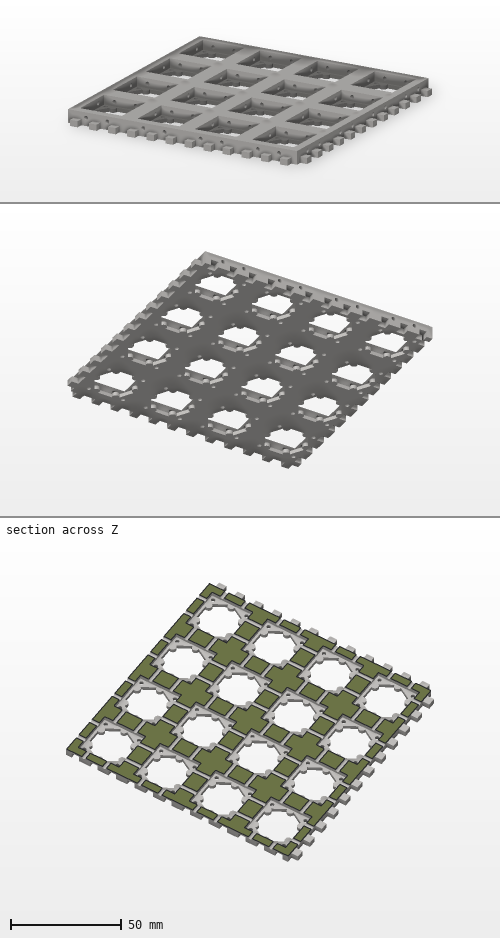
import cadquery as cq
import math

total_side = 123.5
plate_thickness = 6.5

cells_per_side = 4
pocket_side = 22.0
floor_thickness = 1.9
opening_sides = 6
opening_across_flats = 19.6
lobe_diameter = 3.5
lobe_circle_radius = 10.4
hole_diameter = 2.0
floor_hole_offset = 9.0

notch_web = 0.51

cell_pitch = (total_side + pocket_side / 2 + notch_web) / (cells_per_side + 1 / 2)
plate_side = cells_per_side * cell_pitch
half_side = plate_side / 2

tabs_per_cell = 3
tab_count = cells_per_side * tabs_per_cell
tab_pitch = cell_pitch / tabs_per_cell
tab_width = 4.0
tab_height = 3.0
tab_length = total_side - plate_side

cross_hole_offset = 5.5
cross_hole_height = 4.0


def row_positions(count, pitch):
    """Evenly spaced positions centred on zero."""
    return [(i - (count - 1) / 2) * pitch for i in range(count)]


def make_cell_cutter():
    """Square pocket, lobed hexagonal opening and corner holes of one cell."""
    pocket = (
        cq.Workplane("XY")
        .workplane(offset=floor_thickness)
        .rect(pocket_side, pocket_side)
        .extrude(plate_thickness - floor_thickness)
    )
    hexagon = (
        cq.Workplane("XY")
        .polygon(opening_sides, opening_across_flats / math.cos(math.pi / opening_sides))
        .extrude(floor_thickness)
    )
    within_pocket = cq.Workplane("XY").rect(pocket_side, pocket_side).extrude(floor_thickness)
    lobes = (
        cq.Workplane("XY")
        .polarArray(lobe_circle_radius, 0, 360, opening_sides)
        .circle(lobe_diameter / 2)
        .extrude(floor_thickness)
    )
    opening = hexagon.intersect(within_pocket).cut(lobes)
    corner_holes = (
        cq.Workplane("XY")
        .rect(2 * floor_hole_offset, 2 * floor_hole_offset, forConstruction=True)
        .vertices()
        .circle(hole_diameter / 2)
        .extrude(floor_thickness)
    )
    return pocket.union(opening).union(corner_holes)


def make_tab_row():
    """Row of blocks along Y, standing out from x = 0 toward +X."""
    points = [(tab_length / 2, y) for y in row_positions(tab_count, tab_pitch)]
    return cq.Workplane("XY").pushPoints(points).rect(tab_length, tab_width).extrude(tab_height)


def make_cross_holes():
    """Row of long pins along Y that run through the plate in the X direction."""
    points = [
        (centre + side * cross_hole_offset, cross_hole_height)
        for centre in row_positions(cells_per_side, cell_pitch)
        for side in (-1, 1)
    ]
    return (
        cq.Workplane("YZ")
        .pushPoints(points)
        .circle(hole_diameter / 2)
        .extrude(half_side, both=True)
    )


def quarter_turn(body):
    """Turn about Z so that +X becomes -Y and -X becomes +Y."""
    return body.rotate((0, 0, 0), (0, 0, 1), -90)


plate = cq.Workplane("XY").rect(plate_side, plate_side).extrude(plate_thickness)

cell_cutter = make_cell_cutter().val()
cell_centres = row_positions(cells_per_side, cell_pitch)
for x in cell_centres:
    for y in cell_centres:
        plate = plate.cut(cell_cutter.moved(cq.Location(cq.Vector(x, y, 0))))

tabs = make_tab_row().translate((half_side, 0, 0))
notches = make_tab_row().translate((-half_side, 0, 0))
cross_holes = make_cross_holes()
plate = plate.cut(notches).cut(quarter_turn(notches))
plate = plate.cut(cross_holes).cut(quarter_turn(cross_holes))
result = plate.union(tabs).union(quarter_turn(tabs))